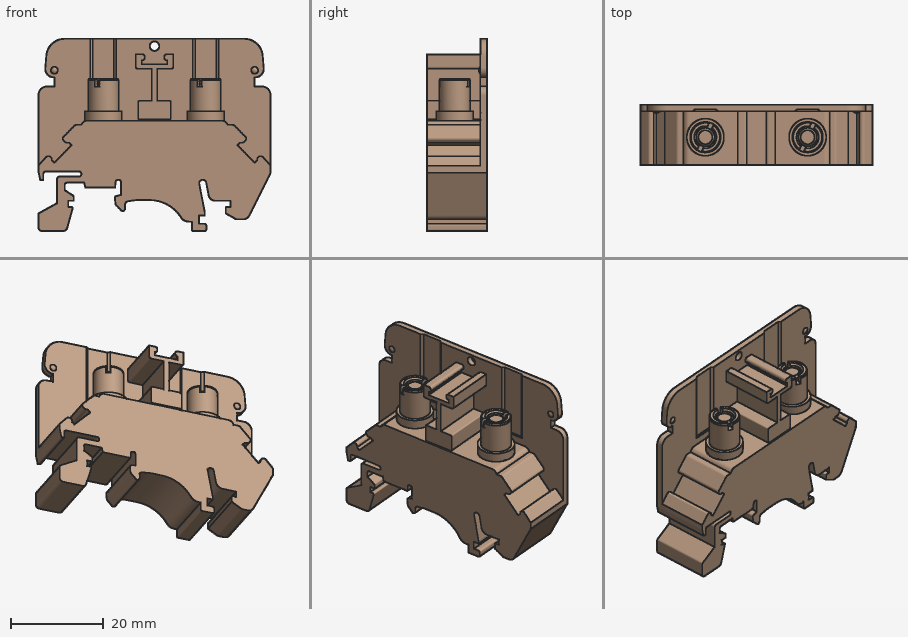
import cadquery as cq
import math


LENGTH = 50.0
DEPTH = 13.0
HEIGHT = 41.4
PLATE_THICKNESS = 1.45
HALF_LENGTH = LENGTH / 2
PLATE_FRONT = DEPTH - PLATE_THICKNESS

BODY_TOP = 23.75
SHOULDER_TOP = 22.85
SIDE_TOP = 14.1
LEFT_SIDE_BOTTOM = 12.8
RIGHT_SIDE_BOTTOM = 12.5
CATCH_TOP = 6.5
CATCH_BOTTOM = 5.2
STEM_TOP = 10.4
ARCH_TOP = 6.65
PLATE_BASE = 13.25

POST_X = 11.0
POST_Y = 6.0
COLLAR_DIAMETER = 8.0
COLLAR_TOP = 25.8
POST_DIAMETER = 6.6
POST_TOP = 32.8
RIM_DROP = 0.35
RIM_INSET = 0.2
BORE_DIAMETER = 4.0
BORE_MOUTH_DIAMETER = 4.8
SCREW_TIP_DIAMETER = 3.0
SCREW_BEVEL = 0.5
BORE_DEPTH = 1.05
SLOT_WIDTH = 1.05
SLOT_DEPTH = 1.7
SLOT_ANGLE = 66.0

RECESS_WIDTH = 5.6
RECESS_FLOOR_WIDTH = 4.5
RECESS_DEPTH = 0.45
RECESS_BOTTOM = 25.5
HOLE_DIAMETER = 2.0
HOLE_Z = 39.8
BUMP_X = 21.55
BUMP_Z = 34.6
BUMP_DIAMETER = 1.5
BUMP_HEIGHT = 0.35


def unit_step(start, end):
    """Direction from start to end, and the distance between them."""
    dx = end[0] - start[0]
    dz = end[1] - start[1]
    distance = math.hypot(dx, dz)
    return (dx / distance, dz / distance), distance


def along(point, direction, distance):
    return (point[0] + direction[0] * distance, point[1] + direction[1] * distance)


def mirrored(corners):
    """The same corners on the other side of the middle, in the opposite order."""
    return [(-corner[0],) + corner[1:] for corner in reversed(corners)]


def rounded_prism(corners, y_front, y_back):
    """Extrude a closed XZ outline of (x, z) sharp or (x, z, radius) rounded corners along Y."""
    arcs = []
    for index, corner in enumerate(corners):
        point = corner[:2]
        if len(corner) == 2:
            arcs.append((point, None, point))
            continue
        radius = corner[2]
        back, _ = unit_step(point, corners[index - 1][:2])
        ahead, _ = unit_step(point, corners[(index + 1) % len(corners)][:2])
        bisector, _ = unit_step((0, 0), (back[0] + ahead[0], back[1] + ahead[1]))
        half_angle = math.acos(back[0] * ahead[0] + back[1] * ahead[1]) / 2
        tangent = radius / math.tan(half_angle)
        apex = radius / math.sin(half_angle) - radius
        arc_start = along(point, back, tangent)
        arc_middle = along(point, bisector, apex)
        arc_end = along(point, ahead, tangent)
        arcs.append((arc_start, arc_middle, arc_end))

    wire = cq.Workplane("XZ", origin=(0, y_front, 0)).moveTo(*arcs[0][2])
    for start, middle, end in arcs[1:]:
        wire = wire.lineTo(*start)
        if middle:
            wire = wire.threePointArc(middle, end)
    start, middle, end = arcs[0]
    if middle:
        wire = wire.lineTo(*start).threePointArc(middle, end)
    return wire.close().extrude(y_front - y_back)


def flank():
    """Left flank from the body top out to the end: shoulder, two latch lips and the slope between."""
    return [
        (-15.3, BODY_TOP, 1.3),
        (-15.75, SHOULDER_TOP),
        (-17.05, SHOULDER_TOP, 0.75),
        (-19.95, 19.9, 0.6),
        (-19.15, 19.05, 0.4),
        (-18.45, 19.05, 0.25),
        (-17.85, 18.5),
        (-21.55, 14.7),
        (-22.1, 15.25),
        (-22.1, 16.1, 0.7),
        (-23.15, 16.1, 0.5),
        (-HALF_LENGTH, SIDE_TOP),
    ]


def snap_foot():
    """Left end lip, the slit that makes the foot springy, and the foot with its catch."""
    lip_bottom = 10.95
    lip_x = -23.9
    stem_x = -21.0
    slit_top = 12.8
    slit_bottom = 11.75
    slit_end = -15.75
    return [
        (-HALF_LENGTH, LEFT_SIDE_BOTTOM),
        (-24.6, lip_bottom, 0.15),
        (lip_x, lip_bottom, 0.15),
        (lip_x, slit_top, 0.5),
        (slit_end, slit_top, 0.5),
        (slit_end, slit_bottom, 0.5),
        (stem_x, slit_bottom, 0.6),
        (stem_x, 6.0),
        (-HALF_LENGTH, 3.8, 0.5),
        (-HALF_LENGTH, 0, 0.8),
        (-18.95, 0, 0.9),
        (-17.5, CATCH_BOTTOM, 0.3),
        (-18.55, CATCH_BOTTOM),
        (-18.55, CATCH_TOP),
        (-17.35, CATCH_TOP),
        (-17.35, 7.55, 0.4),
        (-19.3, 8.8),
        (-19.3, STEM_TOP, 0.5),
    ]


def centre_hook():
    """Stop block under the middle, a narrow relief gap and the blunt hook beside it."""
    gap_top = 11.0
    stop_bottom = 9.35
    return [
        (-15.15, STEM_TOP),
        (-14.9, stop_bottom),
        (-8.45, stop_bottom),
        (-8.3, gap_top, 0.45),
        (-7.25, gap_top, 0.45),
        (-7.25, 7.8),
        (-8.6, 7.45, 0.45),
        (-8.4, 5.7, 0.5),
        (-6.8, 4.05, 0.45),
        (-6.3, 4.7, 0.3),
        (-6.3, 6.3, 0.7),
        (-4.0, ARCH_TOP, 5.0),
    ]


def arch_and_leg():
    """Long arch, the leg with its toe, and the slanted slit behind the leg."""
    arch_foot = 2.0
    leg_x = 8.05
    toe_x = 11.2
    toe_top = 1.6
    notch_x = 9.6
    notch_top = 3.35
    heel_x = 10.85
    slit_top = 11.0
    return [
        (3.3, ARCH_TOP, 8.0),
        (6.3, arch_foot, 2.0),
        (leg_x, arch_foot),
        (leg_x, 0, 0.3),
        (toe_x, 0, 0.4),
        (toe_x, toe_top, 0.5),
        (notch_x, toe_top),
        (notch_x, notch_top),
        (heel_x, notch_top),
        (heel_x, 4.0),
        (9.5, slit_top, 0.7),
        (11.0, slit_top, 0.7),
    ]


def right_jaw():
    """Fixed jaw at the right end, from the slit to the vertical side."""
    lip_x = 15.3
    jaw_bottom = 2.5
    return [
        (11.85, CATCH_TOP, 1.5),
        (16.35, CATCH_TOP),
        (16.35, CATCH_BOTTOM),
        (lip_x, CATCH_BOTTOM, 0.2),
        (lip_x, 3.8),
        (17.6, jaw_bottom, 0.75),
        (20.0, jaw_bottom, 1.5),
        (HALF_LENGTH, RIGHT_SIDE_BOTTOM),
    ]


def moulded_body():
    """Full-depth profile: symmetric flanks on top, rail-snapping shapes underneath."""
    corners = flank() + snap_foot() + centre_hook() + arch_and_leg() + right_jaw() + mirrored(flank())
    return rounded_prism(corners, 0, DEPTH)


def back_plate():
    """Symmetric plate with rounded ears above a notch at each end."""
    ear_x = 23.7
    ear_top_x = 23.0
    notch_x = 21.55
    notch_top = 33.05
    notch_bottom = 31.15
    left_edge = [
        (-ear_top_x, HEIGHT, 4.0),
        (-ear_x, notch_top, 1.9),
        (-notch_x, notch_top),
        (-notch_x, notch_bottom),
        (-HALF_LENGTH, notch_bottom, 1.9),
        (-HALF_LENGTH, PLATE_BASE),
    ]
    return rounded_prism(left_edge + mirrored(left_edge), PLATE_FRONT, DEPTH)


def recess(x):
    """Cutter for a shallow vertical channel with slanted sides, open at the top of the plate."""
    mouth = RECESS_WIDTH / 2
    floor = RECESS_FLOOR_WIDTH / 2
    return (
        cq.Workplane("XY", origin=(x, PLATE_FRONT, RECESS_BOTTOM))
        .polyline([(-mouth, 0), (-floor, RECESS_DEPTH), (floor, RECESS_DEPTH), (mouth, 0)])
        .close()
        .extrude(HEIGHT - RECESS_BOTTOM)
    )


def through_hole():
    """Cutter for the round hole above the marker rail."""
    start = cq.Workplane("XZ", origin=(0, PLATE_FRONT, HOLE_Z))
    return start.circle(HOLE_DIAMETER / 2).extrude(-PLATE_THICKNESS)


def bump(x):
    """Shallow spherical dome on the front of the plate."""
    sphere_radius = ((BUMP_DIAMETER / 2) ** 2 + BUMP_HEIGHT**2) / (2 * BUMP_HEIGHT)
    centre_y = PLATE_FRONT - BUMP_HEIGHT + sphere_radius
    dome = cq.Workplane("XY").sphere(sphere_radius).translate((x, centre_y, BUMP_Z))
    keep = cq.Workplane("XY").box(BUMP_DIAMETER * 2, 2 * BUMP_HEIGHT, BUMP_DIAMETER * 2)
    return dome.intersect(keep.translate((x, PLATE_FRONT, BUMP_Z)))


def marker_rail():
    """Channel with inward lips on a thin web and a block foot, standing clear of the body."""
    channel_x = 4.05
    channel_top = 38.05
    channel_bottom = 34.9
    channel_floor = 35.95
    lip_x = 2.1
    lip_bottom = 36.75
    pocket_x = 2.7
    lip_radius = 0.55
    web_x = 0.6
    block_x = 3.55
    block_top = 28.0
    block_bottom = 24.05
    block_radius = 0.3
    left_side = [
        (-pocket_x, channel_floor),
        (-pocket_x, lip_bottom),
        (-lip_x, lip_bottom, lip_radius),
        (-lip_x, channel_top, lip_radius),
        (-channel_x, channel_top),
        (-channel_x, channel_bottom, 0.5),
        (-web_x, channel_bottom),
        (-web_x, block_top),
        (-block_x, block_top, block_radius),
        (-block_x, block_bottom, block_radius),
    ]
    return rounded_prism(left_side + mirrored(left_side), 0, PLATE_FRONT)


def screw_post(x):
    """Collar and slotted, bevelled sleeve around the tip of a screw."""
    post_radius = POST_DIAMETER / 2
    bore_radius = BORE_DIAMETER / 2
    mouth_radius = BORE_MOUTH_DIAMETER / 2
    screw_foot = POST_TOP - BORE_DEPTH
    mouth_bevel = mouth_radius - bore_radius
    sleeve = (
        cq.Workplane("XZ")
        .moveTo(0, BODY_TOP)
        .lineTo(COLLAR_DIAMETER / 2, BODY_TOP)
        .lineTo(COLLAR_DIAMETER / 2, COLLAR_TOP)
        .lineTo(post_radius, COLLAR_TOP)
        .lineTo(post_radius, POST_TOP - RIM_DROP)
        .lineTo(post_radius - RIM_INSET, POST_TOP)
        .lineTo(mouth_radius, POST_TOP)
        .lineTo(bore_radius, POST_TOP - mouth_bevel)
        .lineTo(bore_radius, screw_foot)
        .lineTo(0, screw_foot)
        .close()
        .revolve(360, (0, 0, 0), (0, 1, 0))
    )
    slot = (
        cq.Workplane("XY", origin=(0, 0, POST_TOP - SLOT_DEPTH))
        .transformed(rotate=(0, 0, SLOT_ANGLE))
        .rect(COLLAR_DIAMETER, SLOT_WIDTH)
        .extrude(SLOT_DEPTH)
    )
    screw_top = screw_foot + SCREW_BEVEL
    screw = (
        cq.Workplane("XY", origin=(0, 0, BODY_TOP))
        .circle(bore_radius)
        .extrude(screw_top - BODY_TOP)
        .faces(">Z")
        .chamfer(SCREW_BEVEL, bore_radius - SCREW_TIP_DIAMETER / 2)
    )
    return sleeve.cut(slot).union(screw).translate((x, POST_Y, 0))


plate = back_plate().cut(through_hole())
for side in (-1, 1):
    plate = plate.cut(recess(side * POST_X)).union(bump(side * BUMP_X))

result = moulded_body().union(plate).union(marker_rail())
for side in (-1, 1):
    result = result.union(screw_post(side * POST_X))